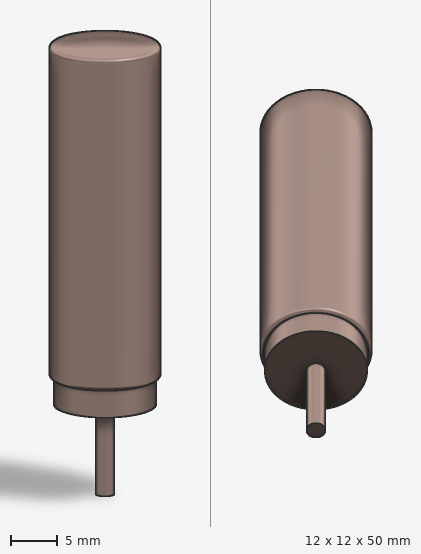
import cadquery as cq

total_height = 50.0
body_diameter = 12.0
edge_fillet = 0.5
collar_diameter = body_diameter - 2 * edge_fillet
collar_height = 3.0
cable_diameter = 2.0
cable_length = 10.0

collar_bottom = cable_length
body_bottom = collar_bottom + collar_height
body_height = total_height - body_bottom


def cylinder(diameter, bottom, height):
    """Upright cylinder on the Z axis."""
    return cq.Workplane("XY").workplane(offset=bottom).circle(diameter / 2).extrude(height)


body = cylinder(body_diameter, body_bottom, body_height).faces("<Z or >Z").edges().fillet(edge_fillet)

collar = cylinder(collar_diameter, collar_bottom, collar_height)

cable = cylinder(cable_diameter, 0, cable_length)

result = body.union(collar).union(cable)